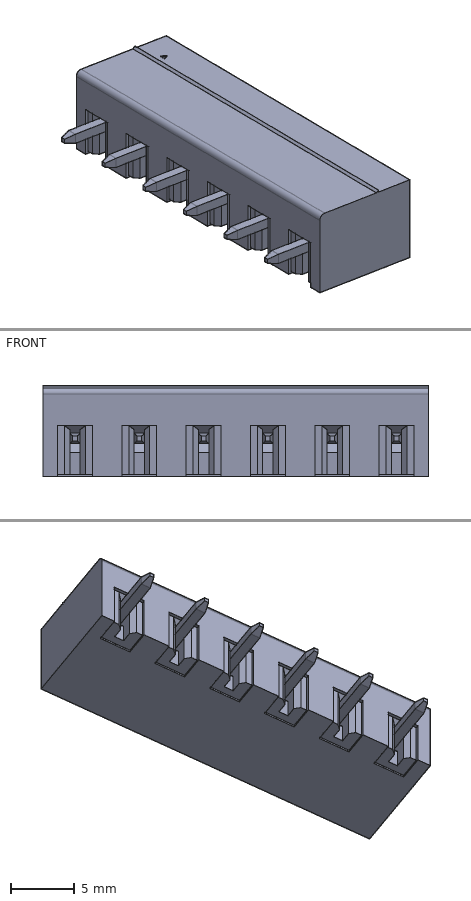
import cadquery as cq


pin_count = 6
length = 30.48
pitch = length / pin_count
depth = 9.17
height = 7.0
front_edge_radius = 0.5

ridge_from_rear = 3.2
ridge_width = 0.2
ridge_height = 0.18

mark_width = 0.5
mark_length = 0.5
mark_base_y = 6.7
mark_engraving = 0.1

pin_size = 0.82
pin_center_z = 3.02
pin_reach = 3.4
pin_tip_length = 0.9
pin_tip_size = 0.37
pin_top_z = pin_center_z + pin_size / 2
pin_bottom_z = pin_center_z - pin_size / 2

window_width = 2.75
window_height = 4.02
window_depth = 0.25
underside_step_height = 0.18
underside_step_depth = 2.13

throat_mouth_width = 1.65
throat_taper_depth = 0.4
roof_slope_depth = 0.75
throat_floor_depth = 1.52
backstop_height = 1.9
backstop_slope = pin_bottom_z - backstop_height

pin_positions = [pitch * (i - (pin_count - 1) / 2) for i in range(pin_count)]


def make_housing():
    block = cq.Workplane("XY").box(length, depth, height, centered=(True, False, False))
    return block.edges("|X and >Z and <Y").fillet(front_edge_radius)


def extrude_along_x(points, width):
    """Extrude a (Y, Z) outline along X, centered on X = 0."""
    return cq.Workplane("YZ").polyline(points).close().extrude(width / 2, both=True)


def make_ridge():
    rear_y = depth - ridge_from_rear
    outline = [
        (rear_y, height),
        (rear_y, height + ridge_height),
        (rear_y - ridge_width, height),
    ]
    return extrude_along_x(outline, length)


def make_mark():
    center_x = pin_positions[0]
    return (
        cq.Workplane("XY", origin=(center_x, mark_base_y, height))
        .polyline([(-mark_width / 2, 0), (mark_width / 2, 0), (0, mark_length)])
        .close()
        .extrude(-mark_engraving)
    )


def make_throat():
    """Plan outline of the throat intersected with its side outline."""
    throat_end = throat_floor_depth + backstop_slope
    taper_end = window_depth + throat_taper_depth
    plan = (
        cq.Workplane("XY")
        .polyline([
            (-throat_mouth_width / 2, window_depth),
            (-pin_size / 2, taper_end),
            (-pin_size / 2, throat_end),
            (pin_size / 2, throat_end),
            (pin_size / 2, taper_end),
            (throat_mouth_width / 2, window_depth),
        ])
        .close()
        .extrude(window_height)
    )
    side = extrude_along_x(
        [
            (window_depth, 0),
            (throat_floor_depth, 0),
            (throat_floor_depth, backstop_height),
            (throat_end, pin_bottom_z),
            (window_depth + roof_slope_depth, pin_top_z),
            (window_depth, window_height),
        ],
        throat_mouth_width,
    )
    return plan.intersect(side)


def make_pin_opening():
    centering = (True, False, False)
    window = cq.Workplane("XY").box(window_width, window_depth, window_height, centered=centering)
    step = cq.Workplane("XY").box(
        window_width, underside_step_depth, underside_step_height, centered=centering
    )
    return window.union(step).union(make_throat())


def make_pin():
    embedded_end = throat_floor_depth + backstop_slope
    shoulder_y = pin_tip_length - pin_reach
    shank = (
        cq.Workplane("XZ", origin=(0, embedded_end, pin_center_z))
        .rect(pin_size, pin_size)
        .extrude(embedded_end - shoulder_y)
    )
    tip = (
        cq.Workplane("XZ", origin=(0, shoulder_y, pin_center_z))
        .rect(pin_size, pin_size)
        .workplane(offset=pin_tip_length)
        .rect(pin_tip_size, pin_tip_size)
        .loft(ruled=True)
    )
    return shank.union(tip)


result = make_housing().union(make_ridge()).cut(make_mark())

opening = make_pin_opening()
pin = make_pin()
for x in pin_positions:
    result = result.cut(opening.translate((x, 0, 0)))
    result = result.union(pin.translate((x, 0, 0)))